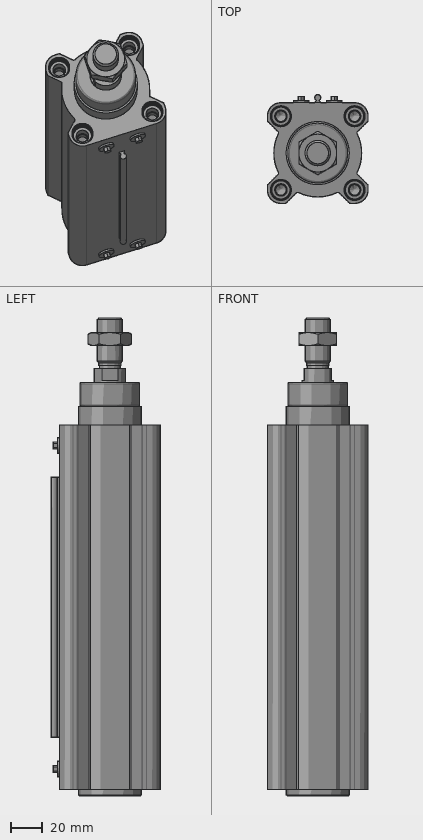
import cadquery as cq
import math

total_height = 302.8
rear_spigot_height = 4.2
barrel_length = 230.7
barrel_top = rear_spigot_height + barrel_length
barrel_middle = rear_spigot_height + barrel_length / 2
front_spigot_top = 246.8
wiper_cap_top = 262.0

barrel_width = 64.0
half_width = barrel_width / 2
bolt_offset = 23.3
corner_radius = half_width - bolt_offset
lobe_flat_end = 20.3
lobe_foot = 13.3
lobe_edge_fillet = 1.0
core_radius = 28.0
foot_offset = half_width - (lobe_flat_end - lobe_foot)
core_meeting = math.sqrt(core_radius**2 - foot_offset**2)

spigot_diameter = 40.0
cap_diameter = 38.0
spigot_chamfer = 1.0
cap_fillet = 1.0

recess_diameter = 13.3
recess_depth = 1.8
seat_diameter = 12.0
seat_depth = 3.5
socket_diameter = 11.5
socket_depth = 5.5
thread_diameter = 8.0
thread_depth = 12.0
drill_diameter = 6.7
drill_depth = 16.7
drill_tip_angle = 118.0

rail_diameter = 4.0
rail_length = 164.7
overall_depth = 69.0
rail_tip = overall_depth - half_width
rail_neck = 2.0
rail_base_width = 4.0
rail_flare_height = 1.2

screw_spacing_x = 21.0
screw_spacing_z = 204.7
screw_flange_diameter = 10.0
screw_flange_height = 1.2
screw_head_across_corners = 4.5
screw_head_height = 4.0

collar_diameter = 20.0
collar_top = 270.7
flats_bottom = 263.0
flats_width = 17.3
thread_rod_diameter = 16.0
undercut_diameter = 13.3
undercut_top = 272.5
neck_diameter = 14.2
neck_top = 274.3
rod_thread_bottom = 275.5
tip_chamfer = 1.2

nut_across_flats = 24.0
nut_bottom = 285.2
nut_height = 8.2
nut_chamfer_angle = 30.0

hexagon_sides = 6


def cylinder(diameter, bottom, top):
    """Round bar on the Z axis between two heights."""
    return cq.Workplane("XY").workplane(offset=bottom).circle(diameter / 2).extrude(top - bottom)


def barrel_profile():
    """Round core with a lobe at each corner; the +Y side is closed by one flat."""
    w, b, e, f, c = half_width, bolt_offset, lobe_flat_end, lobe_foot, foot_offset
    m = core_meeting
    r = core_radius
    d = bolt_offset + corner_radius * math.sqrt(0.5)
    return (
        cq.Workplane("XY").workplane(offset=rear_spigot_height)
        .moveTo(-b, w).lineTo(b, w).threePointArc((d, d), (w, b))
        .lineTo(w, e).lineTo(c, f).lineTo(c, m).threePointArc((r, 0), (c, -m))
        .lineTo(c, -f).lineTo(w, -e).lineTo(w, -b).threePointArc((d, -d), (b, -w))
        .lineTo(e, -w).lineTo(f, -c).lineTo(m, -c).threePointArc((0, -r), (-m, -c))
        .lineTo(-f, -c).lineTo(-e, -w).lineTo(-b, -w).threePointArc((-d, -d), (-w, -b))
        .lineTo(-w, -e).lineTo(-c, -f).lineTo(-c, -m).threePointArc((-r, 0), (-c, m))
        .lineTo(-c, f).lineTo(-w, e).lineTo(-w, b).threePointArc((-d, d), (-b, w))
        .close()
    )


def make_barrel():
    """Extruded profile with the sharp outer edge of each lobe flank rounded."""
    barrel = barrel_profile().extrude(barrel_length)
    flank_edges = []
    for side in (-1, 1):
        flank_edges += [
            (side * half_width, lobe_flat_end),
            (side * half_width, -lobe_flat_end),
            (side * lobe_flat_end, -half_width),
        ]
    for x, y in flank_edges:
        edge = cq.selectors.NearestToPointSelector((x, y, barrel_middle))
        barrel = barrel.edges(edge).fillet(lobe_edge_fillet)
    return barrel


def corner_hole(x, y):
    """Stepped blind hole with a drill point, sunk from the barrel top at one corner."""
    steps = [
        (recess_diameter, recess_depth),
        (seat_diameter, seat_depth),
        (socket_diameter, socket_depth),
        (thread_diameter, thread_depth),
        (drill_diameter, drill_depth),
    ]
    tip_depth = drill_depth + drill_diameter / 2 / math.tan(math.radians(drill_tip_angle / 2))
    outline = cq.Workplane("XZ").moveTo(0, 0)
    upper_floor = 0
    for diameter, depth in steps:
        outline = outline.lineTo(diameter / 2, -upper_floor).lineTo(diameter / 2, -depth)
        upper_floor = depth
    hole = outline.lineTo(0, -tip_depth).close().revolve(360, (0, 0, 0), (0, 1, 0))
    return hole.translate((x, y, barrel_top))


def sensor_rail():
    """Round rail on a narrow neck that flares into the +Y face."""
    bottom = barrel_middle - rail_length / 2
    centre = rail_tip - rail_diameter / 2
    bead = (cq.Workplane("XY").workplane(offset=bottom).center(0, centre)
            .circle(rail_diameter / 2).extrude(rail_length))
    neck = (
        cq.Workplane("XY").workplane(offset=bottom)
        .moveTo(-rail_base_width / 2, half_width)
        .lineTo(rail_base_width / 2, half_width)
        .lineTo(rail_neck / 2, half_width + rail_flare_height)
        .lineTo(rail_neck / 2, centre)
        .lineTo(-rail_neck / 2, centre)
        .lineTo(-rail_neck / 2, half_width + rail_flare_height)
        .close().extrude(rail_length)
    )
    return bead.union(neck)


def cushioning_screws():
    """Four flanged hexagon screws standing out of the +Y face, two at each end."""
    face = cq.Workplane("XZ", origin=(0, half_width, barrel_middle)).transformed(rotate=(0, 0, 90))
    seats = face.rarray(screw_spacing_z, screw_spacing_x, 2, 2)
    flanges = seats.circle(screw_flange_diameter / 2).extrude(-screw_flange_height)
    heads = seats.polygon(hexagon_sides, screw_head_across_corners).extrude(-screw_head_height)
    return flanges.union(heads)


def make_housing():
    """Barrel with both spigots, wiper cap, sensor rail, screws and corner holes."""
    rear = cylinder(spigot_diameter, 0, rear_spigot_height).faces("<Z").chamfer(spigot_chamfer)
    front = cylinder(spigot_diameter, barrel_top, front_spigot_top)
    cap = cylinder(cap_diameter, front_spigot_top, wiper_cap_top).edges().fillet(cap_fillet)
    housing = make_barrel().union(rear).union(front).union(cap)
    housing = housing.union(sensor_rail()).union(cushioning_screws())
    for x in (-bolt_offset, bolt_offset):
        for y in (-bolt_offset, bolt_offset):
            housing = housing.cut(corner_hole(x, y))
    return housing


def make_rod():
    """Piston rod: flatted collar, undercut and threaded end."""
    collar = cylinder(collar_diameter, wiper_cap_top, collar_top)
    collar_flats = (cq.Workplane("XY").workplane(offset=flats_bottom)
                    .rect(flats_width, collar_diameter).extrude(collar_top - flats_bottom))
    collar = collar.intersect(collar_flats.union(cylinder(collar_diameter, wiper_cap_top, flats_bottom)))
    shank = (
        cq.Workplane("XZ")
        .moveTo(0, collar_top)
        .lineTo(undercut_diameter / 2, collar_top)
        .lineTo(undercut_diameter / 2, undercut_top)
        .lineTo(neck_diameter / 2, undercut_top)
        .lineTo(neck_diameter / 2, neck_top)
        .lineTo(thread_rod_diameter / 2, rod_thread_bottom)
        .lineTo(thread_rod_diameter / 2, total_height - tip_chamfer)
        .lineTo(thread_rod_diameter / 2 - tip_chamfer, total_height)
        .lineTo(0, total_height)
        .close()
        .revolve(360, (0, 0, 0), (0, 1, 0))
    )
    return collar.union(shank)


def make_nut():
    """Hexagon nut with flats facing +X and -X and chamfered corners."""
    corner_diameter = nut_across_flats / math.cos(math.pi / hexagon_sides)
    corner_overhang = (corner_diameter - nut_across_flats) / 2
    chamfer_height = corner_overhang * math.tan(math.radians(nut_chamfer_angle))
    hexagon = (cq.Workplane("XY").workplane(offset=nut_bottom).transformed(rotate=(0, 0, 180 / hexagon_sides))
               .polygon(hexagon_sides, corner_diameter).extrude(nut_height))
    blank = cylinder(corner_diameter, nut_bottom, nut_bottom + nut_height)
    blank = blank.faces("<Z or >Z").chamfer(chamfer_height, corner_overhang)
    return hexagon.intersect(blank).cut(cylinder(thread_rod_diameter, nut_bottom, nut_bottom + nut_height))


housing = make_housing()
rod = make_rod()
nut = make_nut()
result = cq.Compound.makeCompound([housing.val(), rod.val(), nut.val()])